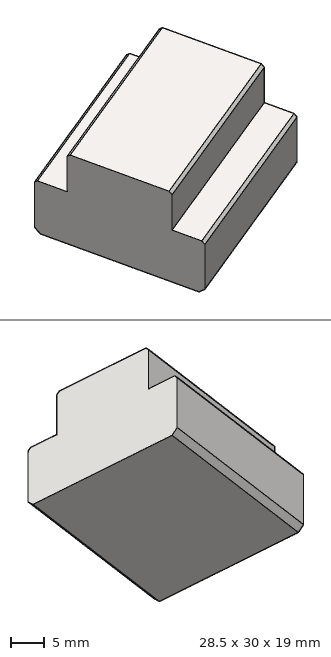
import cadquery as cq

length = 30.0
base_width = 28.5
total_height = 19.0

base_height = 11.0
neck_width = 17.55
top_chamfer = 0.5
bottom_chamfer = 1.0


def centered_bar(width, height):
    """Full-length bar centered in X and Y, standing on Z = 0."""
    return cq.Workplane("XY").box(width, length, height, centered=(True, True, False))


base = centered_bar(base_width, base_height)
base = base.faces(">Z").edges("|Y").chamfer(top_chamfer)
base = base.faces("<Z").edges("|Y").chamfer(bottom_chamfer)

neck = centered_bar(neck_width, total_height)
neck = neck.faces(">Z").edges("|Y").chamfer(top_chamfer)

result = base.union(neck).clean()